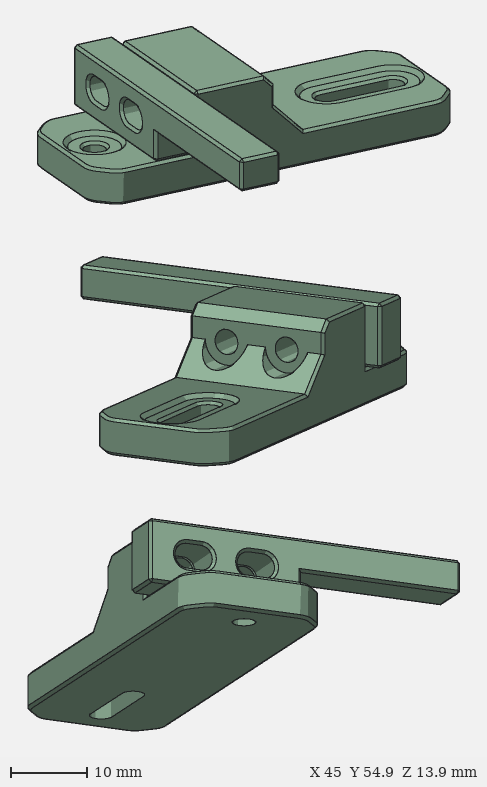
import cadquery as cq

edge_chamfer = 0.4
bevel_angle = 45.0
overall_height = 13.88
fit_gap = 0.1

base_width = 20.0
base_length = 54.9
base_thickness = 5.0
corner_cut = 3.0
corner_radius = 3.0

mount_diameter = 3.1
recess_diameter = 8.3
recess_depth = 0.6
mount_margin = 4.95
mount_slot_travel = 10.0
mount_slot_y = base_length - mount_margin - mount_slot_travel / 2

screw_diameter = 3.4
screw_spacing = 9.0
screw_positions = (-screw_spacing / 2, screw_spacing / 2)
screw_height = (base_thickness + overall_height) / 2
screw_head_diameter = 6.3

block_front = 14.55
block_back = 26.5
block_top_chamfer = 1.5
ramp_foot = block_back + screw_height - base_thickness

arm_left = -12.0
arm_length = 45.0
arm_right = arm_left + arm_length
arm_thickness = 6.0
arm_back = block_front - fit_gap
arm_front = arm_back - arm_thickness
arm_bottom = base_thickness + fit_gap
pad_right = base_width / 2
bar_thickness = 4.6
bar_bottom = overall_height - bar_thickness
arm_slot_travel = 2.0
arm_slot_shift = -arm_slot_travel / 2
slot_rim_diameter = screw_diameter + 2 * edge_chamfer


def base_blank():
    """Side profile of plate, ramp and block, trimmed to the plan outline with cut corners."""
    profile = (
        cq.Workplane("YZ")
        .lineTo(base_length, 0)
        .lineTo(base_length, base_thickness)
        .lineTo(ramp_foot, base_thickness)
        .lineTo(block_back, screw_height)
        .lineTo(block_back, overall_height - block_top_chamfer)
        .lineTo(block_back - block_top_chamfer, overall_height)
        .lineTo(block_front, overall_height)
        .lineTo(block_front, base_thickness)
        .lineTo(0, base_thickness)
        .close()
        .extrude(base_width / 2, both=True)
    )
    plan = (
        cq.Workplane("XY")
        .center(0, base_length / 2)
        .rect(base_width, base_length)
        .extrude(overall_height)
        .edges("|Z")
        .chamfer(corner_cut)
        .edges("|Z")
        .fillet(corner_radius)
    )
    return profile.intersect(plan)


def is_broken_edge(edge):
    """True for the base edges that get a small chamfer.

    The upright plate corners stay sharp, and so do the block's full-width edges
    apart from the one at its top front.
    """
    box = edge.BoundingBox()
    upright_corner = box.zmin < edge_chamfer and box.zlen > edge_chamfer
    full_width = box.xlen > base_width - edge_chamfer
    top_front = box.ymax < block_front + edge_chamfer and box.zmin > screw_height
    return not upright_corner and (not full_width or top_front)


def cut_mount(body, y, travel):
    """Cut a hole, or a slot along Y, through the plate under a shallow recess with sloped walls."""

    def outline(diameter, z):
        """Round or slotted outline of the given width at height z."""
        plane = cq.Workplane("XY", origin=(0, y, z))
        if travel == 0:
            return plane.circle(diameter / 2)
        return plane.slot2D(travel + diameter, diameter, 90)

    floor = base_thickness - recess_depth
    recess = outline(recess_diameter, base_thickness).extrude(-recess_depth, taper=bevel_angle)
    rim = outline(mount_diameter + 2 * edge_chamfer, floor).extrude(-edge_chamfer, taper=bevel_angle)
    shank = outline(mount_diameter, 0).extrude(base_thickness)
    return body.cut(recess).cut(rim).cut(shank)


def make_base():
    """Base body: plate with mounting hole and slot, and the block with two screw holes."""
    blank = base_blank()
    edges = [edge for edge in blank.edges().vals() if is_broken_edge(edge)]
    body = blank.newObject(edges).chamfer(edge_chamfer)
    body = cut_mount(body, mount_margin, 0)
    body = cut_mount(body, mount_slot_y, mount_slot_travel)

    for x in screw_positions:
        front = cq.Workplane("XZ", origin=(x, block_front, screw_height))
        hole = front.circle(screw_diameter / 2).extrude(block_front - block_back)
        rim = front.circle(screw_diameter / 2 + edge_chamfer).extrude(-edge_chamfer, taper=bevel_angle)
        wall = cq.Workplane("XZ", origin=(x, block_back, screw_height))
        head_clearance = wall.circle(screw_head_diameter / 2).extrude(block_back - ramp_foot)
        body = body.cut(hole).cut(rim).cut(head_clearance)
    return body


def make_arm():
    """Arm body: pad and bar with two slots for the screws."""
    body = (
        cq.Workplane("XZ", origin=(0, arm_front, 0))
        .moveTo(arm_left, arm_bottom)
        .lineTo(pad_right, arm_bottom)
        .lineTo(pad_right, bar_bottom)
        .lineTo(arm_right, bar_bottom)
        .lineTo(arm_right, overall_height)
        .lineTo(arm_left, overall_height)
        .close()
        .extrude(-arm_thickness)
    )
    inner_corner = (pad_right, arm_front + arm_thickness / 2, bar_bottom)
    inner_edge = body.edges(cq.selectors.NearestToPointSelector(inner_corner)).val()
    edges = [edge for edge in body.edges().vals() if not edge.isSame(inner_edge)]
    body = body.newObject(edges).chamfer(edge_chamfer)

    for x in screw_positions:
        front = cq.Workplane("XZ", origin=(x + arm_slot_shift, arm_front, screw_height))
        slot = front.slot2D(arm_slot_travel + screw_diameter, screw_diameter).extrude(-arm_thickness)
        rim_outline = front.slot2D(arm_slot_travel + slot_rim_diameter, slot_rim_diameter)
        rim = rim_outline.extrude(-edge_chamfer, taper=bevel_angle)
        body = body.cut(slot).cut(rim)
    return body


base = make_base()
arm = make_arm()
result = cq.Compound.makeCompound([base.val(), arm.val()])